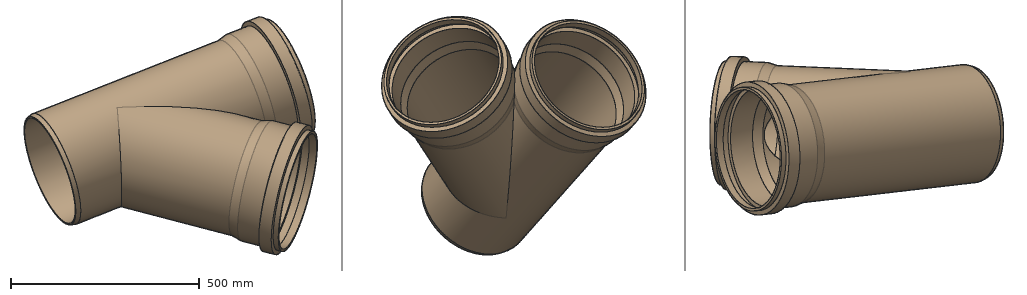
import cadquery as cq


TOTAL_LENGTH = 704.0
ARM_LENGTH = 505.0
BRANCH_ANGLE = 45.0

PIPE_RADIUS = 315.5 / 2
BORE_RADIUS = 298.5 / 2
SOCKET_RADIUS = 330.0 / 2
SOCKET_BORE_RADIUS = 316.0 / 2
RING_RADIUS = 355.0 / 2
RING_GROOVE_RADIUS = 341.0 / 2

LIP_DEPTH = 14.0
RING_DEPTH = 51.5
SOCKET_DEPTH = 113.0
TAPER_DEPTH = 140.0
RING_FACE_SLANT = 1.5
RING_WALL = RING_RADIUS - RING_GROOVE_RADIUS

SPIGOT_CHAMFER_LENGTH = 13.0
SPIGOT_CHAMFER_HEIGHT = 4.0

SPIGOT_END = ARM_LENGTH - TOTAL_LENGTH
LIP_BACK = ARM_LENGTH - LIP_DEPTH
RING_BACK = ARM_LENGTH - RING_DEPTH
TAPER_TOP = ARM_LENGTH - SOCKET_DEPTH
TAPER_BOTTOM = ARM_LENGTH - TAPER_DEPTH


def revolve_about_y(profile):
    """Revolve (radius, y) points, starting and ending on the Y axis."""
    return cq.Workplane("XY").polyline(profile).close().revolve(360, (0, 0, 0), (0, 1, 0))


def arm_outside(start_points):
    """Solid pipe with a socket at its +Y end; start_points shape the other end."""
    return revolve_about_y(start_points + [
        (PIPE_RADIUS, TAPER_BOTTOM),
        (SOCKET_RADIUS, TAPER_TOP),
        (SOCKET_RADIUS, RING_BACK),
        (RING_RADIUS, RING_BACK + RING_FACE_SLANT),
        (RING_RADIUS, LIP_BACK - RING_FACE_SLANT),
        (SOCKET_RADIUS, LIP_BACK),
        (SOCKET_RADIUS, ARM_LENGTH),
        (0, ARM_LENGTH),
    ])


def arm_bore(start):
    """Hollow of an arm, with the socket bore and the seal ring groove."""
    groove_back = RING_BACK + RING_WALL
    groove_front = LIP_BACK - RING_WALL
    return revolve_about_y([
        (0, start),
        (BORE_RADIUS, start),
        (BORE_RADIUS, TAPER_BOTTOM),
        (SOCKET_BORE_RADIUS, TAPER_TOP),
        (SOCKET_BORE_RADIUS, groove_back),
        (RING_GROOVE_RADIUS, groove_back),
        (RING_GROOVE_RADIUS, groove_front),
        (SOCKET_BORE_RADIUS, groove_front),
        (SOCKET_BORE_RADIUS, ARM_LENGTH),
        (0, ARM_LENGTH),
    ])


def turn_to_branch(shape):
    """Swing an arm from the run axis onto the branch axis."""
    return shape.rotate((0, 0, 0), (0, 0, 1), -BRANCH_ANGLE)


spigot_points = [
    (0, SPIGOT_END),
    (PIPE_RADIUS - SPIGOT_CHAMFER_HEIGHT, SPIGOT_END),
    (PIPE_RADIUS, SPIGOT_END + SPIGOT_CHAMFER_LENGTH),
]
run = arm_outside(spigot_points)
branch = turn_to_branch(arm_outside([(0, 0), (PIPE_RADIUS, 0)]))

result = run.union(branch).cut(arm_bore(SPIGOT_END)).cut(turn_to_branch(arm_bore(0)))